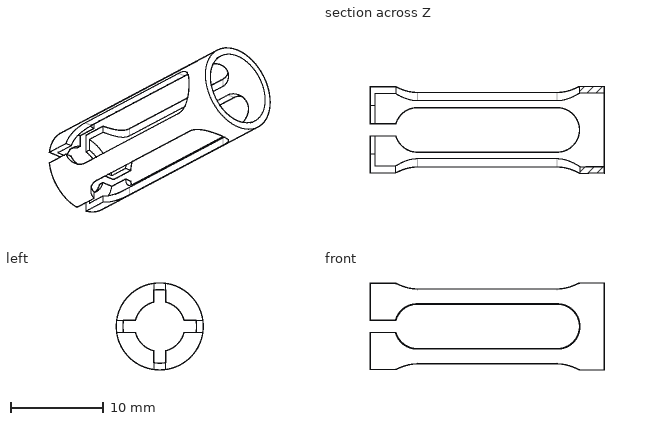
import cadquery as cq

length = 25.4
outer_diameter = 9.45
bore_diameter = 7.95
lip_bore_diameter = 5.4
lip_length = 0.55

slit_width = 1.3
window_length = 19.96
window_width = 4.8
front_window_enlargement = 0.13


def cylinder(diameter, start, end):
    return cq.Workplane("YZ").workplane(offset=start).circle(diameter / 2).extrude(end - start)


def wall_opening(enlargement):
    """Rounded window, centred along the sleeve, with a slit to the lipped end; cuts the +Z wall."""
    depth = outer_diameter / 2
    window = (
        cq.Workplane("XY")
        .center(length / 2, 0)
        .slot2D(window_length + enlargement, window_width + enlargement)
        .extrude(depth)
    )
    slit = cq.Workplane("XY").box(length / 2, slit_width, depth, centered=(False, True, False))
    return window.union(slit)


sleeve = cylinder(outer_diameter, 0, length)
sleeve = sleeve.cut(cylinder(lip_bore_diameter, 0, lip_length))
sleeve = sleeve.cut(cylinder(bore_diameter, lip_length, length))

front_angle = 90
for angle in (0, 90, 180, 270):
    enlargement = front_window_enlargement if angle == front_angle else 0
    sleeve = sleeve.cut(wall_opening(enlargement).rotate((0, 0, 0), (1, 0, 0), angle))

result = sleeve